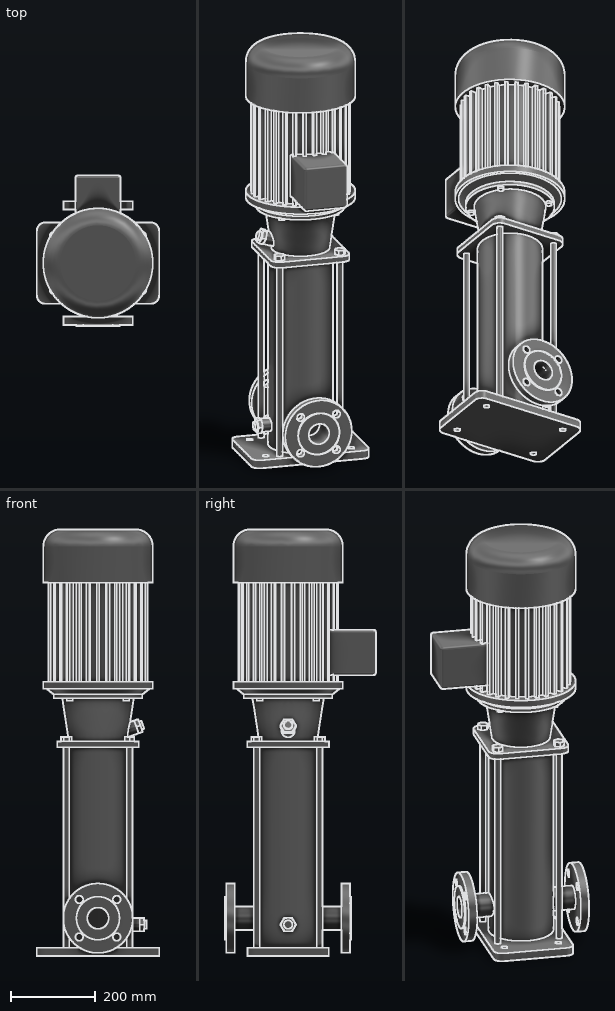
import cadquery as cq
import math

total_height = 1010.0

foot_length = 290.0
foot_width = 193.0
foot_thickness = 20.0
foot_corner_radius = 20.0
foot_hole_diameter = 14.0
foot_hole_x = 106.0
foot_hole_y = 66.0

casing_diameter = 155.0
head_plate_side = 194.0
head_plate_bottom = 494.0
head_plate_thickness = 14.0
head_plate_corner_radius = 22.0
rod_diameter = 14.0
rod_offset = 75.0
nut_across_flats = 22.0
nut_height = 11.0

port_height = 90.0
port_reach = 149.0
port_flange_diameter = 165.0
port_flange_thickness = 20.0
raised_face_diameter = 102.0
raised_face_height = 3.0
port_pipe_diameter = 57.0
port_bore_diameter = 50.0
port_hole_diameter = 18.0
port_bolt_circle = 125.0
port_hole_count = 4

plug_diameter = 32.0
plug_head_height = 10.0
plug_tip_diameter = 20.0
plug_tip_height = 6.0
drain_height = 75.0
drain_seat_x = 99.0
filler_height = 542.0
filler_seat_x = 91.0
filler_tilt = 20.0

bracket_bottom_diameter = 138.0
bracket_top_diameter = 170.0
bracket_top = 610.0
bracket_plate_diameter = 210.0
bracket_plate_thickness = 9.0
bracket_bolt_diameter = 14.0
bracket_bolt_offset = 67.0
bracket_bolt_projection = 6.0

motor_diameter = 260.0
flange_neck_diameter = 243.0
motor_flange_bottom = 632.0
motor_flange_top = 649.0
core_diameter = 210.0
fin_circle_diameter = 236.0
fin_thickness = 7.0
fin_count = 30
fan_cover_bottom = 884.0
fan_cover_rounding = 40.0

box_width = 107.0
box_height = 108.0
box_bottom = 665.0
box_outer_y = 208.0
box_rounding = 7.0

foot_top = foot_thickness
head_plate_top = head_plate_bottom + head_plate_thickness
bracket_plate_top = bracket_top + bracket_plate_thickness
square_corners = [(x, y) for x in (-1, 1) for y in (-1, 1)]


def cylinder(diameter, bottom, top):
    """Vertical cylinder on the pump axis."""
    return cq.Workplane("XY").workplane(offset=bottom).circle(diameter / 2).extrude(top - bottom)


def cone(bottom_diameter, top_diameter, bottom, top):
    """Vertical cone frustum on the pump axis."""
    return (
        cq.Workplane("XY")
        .workplane(offset=bottom)
        .circle(bottom_diameter / 2)
        .workplane(offset=top - bottom)
        .circle(top_diameter / 2)
        .loft()
    )


def rounded_plate(length, width, bottom, thickness, corner_radius):
    """Horizontal plate with rounded vertical corners."""
    return (
        cq.Workplane("XY")
        .workplane(offset=bottom)
        .rect(length, width)
        .extrude(thickness)
        .edges("|Z")
        .fillet(corner_radius)
    )


def at_corners(offset_x, offset_y):
    """Four points mirrored about both axes."""
    return [(sx * offset_x, sy * offset_y) for sx, sy in square_corners]


def hexagon(across_flats, first_angle):
    """Corners of a hexagon, the first one at first_angle from the local X axis."""
    corner_radius = across_flats / 2 / math.cos(math.radians(30))
    angles = [first_angle + math.radians(60 * i) for i in range(6)]
    return [(corner_radius * math.cos(a), corner_radius * math.sin(a)) for a in angles]


def make_foot():
    foot = rounded_plate(foot_length, foot_width, 0, foot_thickness, foot_corner_radius)
    holes = (
        cq.Workplane("XY")
        .pushPoints(at_corners(foot_hole_x, foot_hole_y))
        .circle(foot_hole_diameter / 2)
        .extrude(foot_thickness)
    )
    return foot.cut(holes)


def make_head_plate():
    return rounded_plate(
        head_plate_side, head_plate_side, head_plate_bottom, head_plate_thickness, head_plate_corner_radius
    )


def make_tie_rods():
    """Four rods from the foot to the head plate, each capped by a nut.

    The nuts on the -X side have a corner facing X; those on the +X side have a flat facing X.
    """
    corners = at_corners(rod_offset, rod_offset)
    rods = (
        cq.Workplane("XY")
        .workplane(offset=foot_top)
        .pushPoints(corners)
        .circle(rod_diameter / 2)
        .extrude(head_plate_top - foot_top)
    )
    for x, y in corners:
        first_corner = 0 if x < 0 else math.radians(30)
        outline = hexagon(nut_across_flats, first_corner)
        nut_base = cq.Workplane("XY", origin=(x, y, head_plate_top))
        rods = rods.union(nut_base.polyline(outline).close().extrude(nut_height))
    return rods


def make_port(side):
    """Flanged pipe pointing along side * Y, bored up to the casing wall."""
    flange_outer = port_reach - raised_face_height
    flange_inner = flange_outer - port_flange_thickness
    plane = cq.Plane(origin=(0, 0, port_height), xDir=(1, 0, 0), normal=(0, side, 0))
    axis = cq.Workplane(plane)
    port = axis.circle(port_pipe_diameter / 2).extrude(port_reach)
    port = port.union(
        axis.workplane(offset=flange_inner).circle(port_flange_diameter / 2).extrude(port_flange_thickness)
    )
    port = port.union(
        axis.workplane(offset=flange_outer).circle(raised_face_diameter / 2).extrude(raised_face_height)
    )
    first_hole_angle = 360 / port_hole_count / 2
    bolt_holes = (
        axis.workplane(offset=flange_inner)
        .polarArray(port_bolt_circle / 2, first_hole_angle, 360, port_hole_count)
        .circle(port_hole_diameter / 2)
        .extrude(port_reach - flange_inner)
    )
    bore = axis.circle(port_bore_diameter / 2).extrude(port_reach)
    return port.cut(bolt_holes).cut(bore)


def make_plug(seat_x, seat_height, tilt):
    """Plug on the +X side, starting at the pump axis and tilted upwards by tilt degrees."""
    angle = math.radians(tilt)
    stem_length = seat_x / math.cos(angle)
    direction = (math.cos(angle), 0, math.sin(angle))
    start_height = seat_height - seat_x * math.tan(angle)
    plane = cq.Plane(
        origin=(0, 0, start_height), xDir=(-math.sin(angle), 0, math.cos(angle)), normal=direction
    )
    axis = cq.Workplane(plane)
    stem = axis.circle(plug_diameter / 2).extrude(stem_length)
    head_outline = hexagon(plug_diameter, math.radians(30))
    head = axis.workplane(offset=stem_length).polyline(head_outline).close().extrude(plug_head_height)
    tip_start = stem_length + plug_head_height
    tip = axis.workplane(offset=tip_start).circle(plug_tip_diameter / 2).extrude(plug_tip_height)
    return stem.union(head).union(tip)


def make_bracket():
    """Tapered bracket with a round plate on top and bolt ends showing below the plate."""
    bolts = (
        cq.Workplane("XY")
        .workplane(offset=bracket_top - bracket_bolt_projection)
        .pushPoints(at_corners(bracket_bolt_offset, bracket_bolt_offset))
        .circle(bracket_bolt_diameter / 2)
        .extrude(bracket_bolt_projection + bracket_plate_thickness)
    )
    taper = cone(bracket_bottom_diameter, bracket_top_diameter, head_plate_top, bracket_top)
    plate = cylinder(bracket_plate_diameter, bracket_top, bracket_plate_top)
    return taper.union(plate).union(bolts)


def make_motor():
    neck = cone(bracket_plate_diameter, flange_neck_diameter, bracket_plate_top, motor_flange_bottom)
    flange = cylinder(motor_diameter, motor_flange_bottom, motor_flange_top)
    cover = cylinder(motor_diameter, fan_cover_bottom, total_height)
    cover = cover.faces(">Z").edges().fillet(fan_cover_rounding)
    return neck.union(flange).union(make_finned_body()).union(cover)


def make_finned_body():
    """Motor body with radial cooling fins, one of them pointing along -Y."""
    fin_length = fin_circle_diameter / 2
    fin = cq.Workplane("XY").box(
        fin_length, fin_thickness, fan_cover_bottom - motor_flange_top, centered=(False, True, False)
    )
    fin = fin.translate((0, 0, motor_flange_top))
    body = cylinder(core_diameter, motor_flange_top, fan_cover_bottom)
    for i in range(fin_count):
        body = body.union(fin.rotate((0, 0, 0), (0, 0, 1), -90 + i * 360 / fin_count))
    return body


def make_terminal_box():
    box = cq.Workplane("XY").box(box_width, box_outer_y, box_height, centered=(True, False, False))
    box = box.edges("|Y or >Y").fillet(box_rounding)
    return box.translate((0, 0, box_bottom))


result = make_foot()
result = result.union(make_port(-1)).union(make_port(1))
result = result.union(cylinder(casing_diameter, foot_top, head_plate_bottom))
result = result.union(make_head_plate()).union(make_tie_rods())
result = result.union(make_plug(drain_seat_x, drain_height, 0))
result = result.union(make_bracket())
result = result.union(make_plug(filler_seat_x, filler_height, filler_tilt))
result = result.union(make_motor()).union(make_terminal_box())